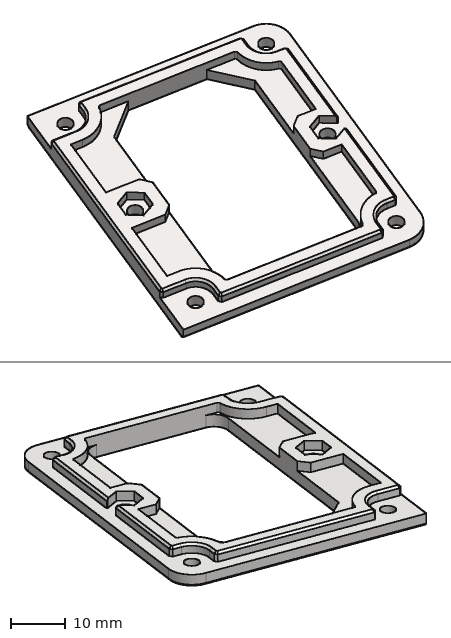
import cadquery as cq
import math

length = 59.9
width = 51.75
base_height = 2.5
total_height = 4.5
rim_height = total_height - base_height
edge_chamfer = 0.5

screw_diameter = 3.0
corner_radius = 5.0
screw_x = length / 2 - corner_radius
screw_back_y = width / 2 - corner_radius
screw_pitch_y = 41.6
screw_front_y = screw_back_y - screw_pitch_y

rim_half_length = 27.25
rim_back_y = width / 2 - 2.7
rim_front_y = -width / 2
rim_wall = 2.8
inner_fillet = 0.5
relief_radius = 3.7

window_half_length = rim_half_length - rim_wall
window_width = 29.2
window_back_y = width / 2 - 11.1
window_front_y = window_back_y - window_width
window_chamfer = 6.45
window_fillet = 3.0

boss_half_width = 5.0
boss_chamfer = 1.8
nut_back_y = width / 2 - 5.75
nut_pitch_y = 39.85
nut_front_y = nut_back_y - nut_pitch_y
nut_flats = 5.6
nut_corners = nut_flats / math.cos(math.pi / 6)
nut_side = nut_corners / 2
nut_floor = base_height

screw_points = [(x, y) for x in (-screw_x, screw_x) for y in (screw_front_y, screw_back_y)]
nut_points = [(0, nut_front_y), (0, nut_back_y)]


def block(x_min, x_max, y_min, y_max, z_min, z_max):
    """Box given by its limits along each axis."""
    size = (x_max - x_min, y_max - y_min, z_max - z_min)
    return cq.Workplane("XY").box(*size, centered=False).translate((x_min, y_min, z_min))


def make_base():
    plate = block(-length / 2, length / 2, -width / 2, width / 2, 0, base_height)
    plate = plate.edges("|Z and >Y").fillet(corner_radius)
    return plate.faces("<Z").edges("not <Y").chamfer(edge_chamfer)


def corner_reliefs(radius):
    """Rounded notches around the screws, open to the outside of the part."""
    reliefs = cq.Workplane("XY")
    reach = length / 4
    for x, y in screw_points:
        side = 1 if x > 0 else -1
        end = 1 if y > 0 else -1
        notch = (
            cq.Workplane("XY")
            .rect(2 * reach, 2 * reach)
            .extrude(rim_height)
            .edges("|Z")
            .fillet(radius)
            .translate((x + side * (reach - radius), y + end * (reach - radius), base_height))
        )
        reliefs = reliefs.add(notch)
    return reliefs.combine()


def make_rim():
    outer = block(-rim_half_length, rim_half_length, rim_front_y, rim_back_y, base_height, total_height)
    outer = outer.cut(corner_reliefs(relief_radius))
    for corner in ("|Z and (<X or >X)", "|Z and (<Y or >Y)"):
        outer = outer.edges(corner).chamfer(edge_chamfer)
    outer = outer.faces(">Z").edges().chamfer(edge_chamfer)
    inner = block(
        -window_half_length, window_half_length,
        rim_front_y + rim_wall, rim_back_y - rim_wall,
        base_height, total_height,
    )
    inner = inner.cut(corner_reliefs(relief_radius + rim_wall))
    for corner in ("|Z and (<X or >X)", "|Z and >Y"):
        inner = inner.edges(corner).fillet(inner_fillet)
    return outer.cut(inner)


def make_boss(wall_y, window_y):
    """Boss from the rim wall to the window, bevelled at its window end."""
    boss = block(
        -boss_half_width, boss_half_width,
        min(wall_y, window_y), max(wall_y, window_y),
        base_height, total_height,
    )
    window_end = "<Y" if window_y < wall_y else ">Y"
    return boss.faces(window_end).edges("|Z").chamfer(boss_chamfer)


def make_window():
    window = block(
        -window_half_length, window_half_length, window_front_y, window_back_y, 0, base_height
    )
    window = window.edges("|Z and <X").chamfer(window_chamfer)
    return window.edges("|Z and >X").fillet(window_fillet)


def make_holes():
    points = screw_points + nut_points
    return cq.Workplane("XY").pushPoints(points).circle(screw_diameter / 2).extrude(total_height)


def make_nut_pockets():
    pockets = cq.Workplane("XY").workplane(offset=nut_floor).pushPoints(nut_points)
    pockets = pockets.polygon(6, nut_corners).extrude(total_height - nut_floor)
    breakout = block(-nut_side / 2, nut_side / 2, nut_back_y, rim_back_y, nut_floor, total_height)
    return pockets.union(breakout)


result = (
    make_base()
    .union(make_rim())
    .union(make_boss(rim_back_y - rim_wall, window_back_y))
    .union(make_boss(rim_front_y + rim_wall, window_front_y))
    .cut(make_window())
    .cut(make_nut_pockets())
    .cut(make_holes())
)